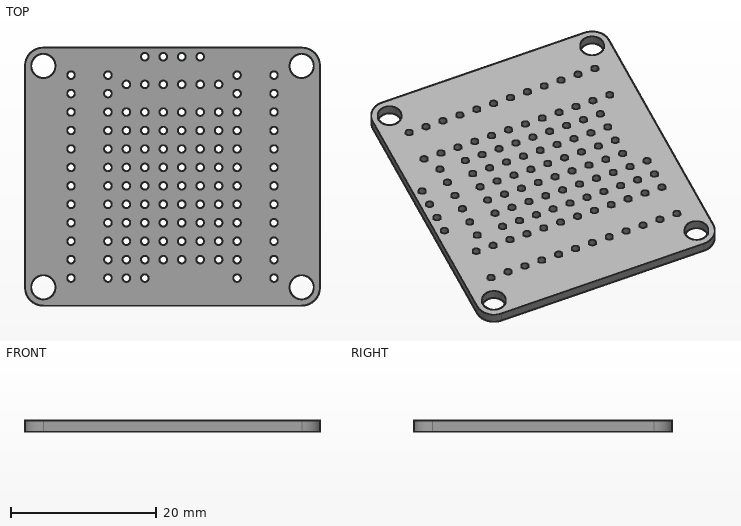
import cadquery as cq

PITCH = 2.54
BOARD_LENGTH = 16 * PITCH
BOARD_WIDTH = 14 * PITCH
BOARD_THICKNESS = 1.6
CORNER_RADIUS = PITCH

MOUNT_HOLE_DIAMETER = 3.3
MOUNT_HOLE_INSET = PITCH
PIN_HOLE_DIAMETER = 1.02

OUTER_COLUMN = 5.5
INNER_COLUMN = 3.5
SIDE_COLUMNS = [-OUTER_COLUMN, -INNER_COLUMN, INNER_COLUMN, OUTER_COLUMN]
MIDDLE_COLUMNS = [-2.5, -1.5, -0.5, 0.5, 1.5, 2.5]
HEADER_COLUMNS = [-1.5, -0.5, 0.5, 1.5]
BOTTOM_ROW_COLUMNS = [-2.5, -1.5]

HEADER_ROW = 6.5
TOP_ROW = 5.5
BOTTOM_ROW = -5.5
SIDE_ROW_COUNT = 12
UPPER_MIDDLE_ROW = 5.0
GRID_TOP_ROW = 3.5
GRID_ROW_COUNT = 9


def rows_down_from(first_row, count):
    """Consecutive rows, one pitch apart, going toward -Y."""
    return [first_row - index for index in range(count)]


def grid_points(columns, rows):
    """Hole centres at every crossing of the given columns and rows."""
    return [(column * PITCH, row * PITCH) for column in columns for row in rows]


def make_board():
    """Flat rectangular board with rounded corners."""
    board = cq.Workplane("XY").box(
        BOARD_LENGTH, BOARD_WIDTH, BOARD_THICKNESS, centered=(True, True, False)
    )
    return board.edges("|Z").fillet(CORNER_RADIUS)


def cut_mount_holes(board):
    """One through hole near each corner."""
    spacing_x = BOARD_LENGTH - 2 * MOUNT_HOLE_INSET
    spacing_y = BOARD_WIDTH - 2 * MOUNT_HOLE_INSET
    corners = board.faces(">Z").workplane(origin=(0, 0, 0)).rect(
        spacing_x, spacing_y, forConstruction=True
    )
    return corners.vertices().hole(MOUNT_HOLE_DIAMETER)


def cut_pin_holes(board):
    """All small through holes of the pin grid."""
    side_columns = grid_points(SIDE_COLUMNS, rows_down_from(TOP_ROW, SIDE_ROW_COUNT))
    middle_grid = grid_points(MIDDLE_COLUMNS, rows_down_from(GRID_TOP_ROW, GRID_ROW_COUNT))
    upper_middle = grid_points(MIDDLE_COLUMNS, [UPPER_MIDDLE_ROW])
    header = grid_points(HEADER_COLUMNS, [HEADER_ROW])
    bottom_extra = grid_points(BOTTOM_ROW_COLUMNS, [BOTTOM_ROW])
    points = side_columns + middle_grid + upper_middle + header + bottom_extra
    top_plane = board.faces(">Z").workplane(origin=(0, 0, 0))
    return top_plane.pushPoints(points).hole(PIN_HOLE_DIAMETER)


result = cut_pin_holes(cut_mount_holes(make_board()))